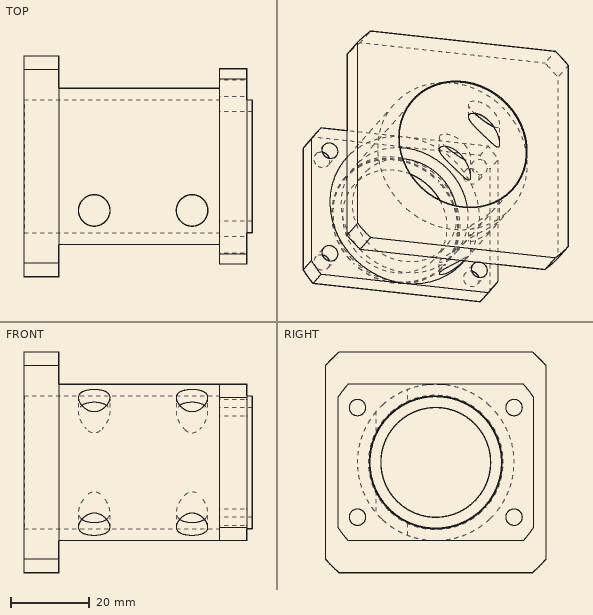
import cadquery as cq

total_length = 58.5
square_flange_thickness = 9.0
end_flange_start = 50.0
end_flange_thickness = 7.0
end_flange_end = end_flange_start + end_flange_thickness

tube_diameter = 40.0
spigot_diameter = 34.0
spigot_chamfer = 0.2

wide_bore_diameter = 34.0
narrow_bore_diameter = 28.0
wide_bore_depth = end_flange_start
bore_entry_chamfer = 0.2
entry_taper = 45.0

square_flange_side = 56.4
square_flange_turned_diameter = 75.0
end_flange_width = 50.0
end_flange_height = tube_diameter
end_flange_turned_diameter = 60.0

mounting_hole_diameter = 4.2
mounting_hole_spacing_y = 40.0
mounting_hole_spacing_z = 28.0

cross_hole_diameter = 8.0
cross_hole_stations = (18.0, 43.0)
cross_hole_y = -11.25


def plane_at(x):
    """Plane normal to X, with local x along Y and local y along Z."""
    return cq.Workplane("YZ", origin=(x, 0, 0))


def cylinder(start, end, diameter):
    """Solid cylinder on the X axis between two stations."""
    return plane_at(start).circle(diameter / 2).extrude(end - start)


def turned_flange(start, thickness, width, height, turned_diameter):
    """Rectangular plate with its corners rounded off by a concentric circle."""
    plate = plane_at(start).rect(width, height).extrude(thickness)
    return plate.intersect(cylinder(start, start + thickness, turned_diameter))


def make_body():
    square_flange = turned_flange(
        0,
        square_flange_thickness,
        square_flange_side,
        square_flange_side,
        square_flange_turned_diameter,
    )
    end_flange = turned_flange(
        end_flange_start,
        end_flange_thickness,
        end_flange_width,
        end_flange_height,
        end_flange_turned_diameter,
    )
    tube = cylinder(0, end_flange_end, tube_diameter)
    spigot = cylinder(end_flange_start, total_length, spigot_diameter)
    spigot = spigot.faces(">X").chamfer(spigot_chamfer)
    return square_flange.union(tube).union(end_flange).union(spigot)


def make_bore():
    wide_bore = cylinder(0, wide_bore_depth, wide_bore_diameter)
    narrow_bore = cylinder(0, total_length, narrow_bore_diameter)
    entry_radius = wide_bore_diameter / 2 + bore_entry_chamfer
    entry_cone = plane_at(0).circle(entry_radius).extrude(bore_entry_chamfer, taper=entry_taper)
    return wide_bore.union(narrow_bore).union(entry_cone)


def make_mounting_holes():
    return (
        plane_at(end_flange_start)
        .rect(mounting_hole_spacing_y, mounting_hole_spacing_z, forConstruction=True)
        .vertices()
        .circle(mounting_hole_diameter / 2)
        .extrude(end_flange_thickness)
    )


def make_cross_holes():
    centers = [(x, cross_hole_y) for x in cross_hole_stations]
    return (
        cq.Workplane("XY")
        .pushPoints(centers)
        .circle(cross_hole_diameter / 2)
        .extrude(tube_diameter / 2, both=True)
    )


result = make_body().cut(make_bore()).cut(make_mounting_holes()).cut(make_cross_holes())